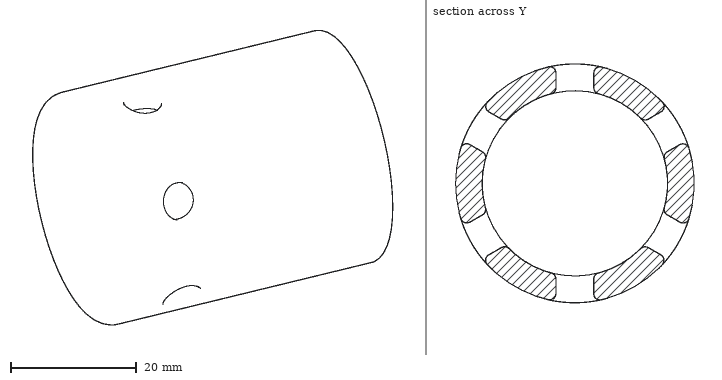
import cadquery as cq

length = 47.5
outer_radius = 19.0
wall = 4.28
closed_end_fillet = 3.0
open_end_fillet = 1.0

hole_count = 6
hole_diameter = 6.0
hole_fillet = 1.0
hole_distance = 12.0

inner_radius = outer_radius - wall
closed_end_y = -length / 2
open_end_y = length / 2
hole_y = closed_end_y + hole_distance


def cylinder_along_y(radius, start_y, end_y):
    """Solid cylinder about the Y axis between two Y positions."""
    return cq.Workplane("XZ", origin=(0, start_y, 0)).circle(radius).extrude(start_y - end_y)


def make_body():
    """Outer cylinder with both end edges rounded."""
    body = cylinder_along_y(outer_radius, closed_end_y, open_end_y)
    body = body.faces("<Y").edges().fillet(closed_end_fillet)
    return body.faces(">Y").edges().fillet(open_end_fillet)


def make_radial_drill(angle):
    """Cylinder running from the part axis outward, turned about Y from +Z."""
    drill = cq.Workplane("XY", origin=(0, hole_y, 0)).circle(hole_diameter / 2).extrude(outer_radius)
    return drill.rotate((0, 0, 0), (0, 1, 0), angle)


def drill_holes(body):
    """Cut the evenly spaced holes into the wall."""
    for index in range(hole_count):
        body = body.cut(make_radial_drill(index * 360 / hole_count))
    return body


def round_hole_edges(shell):
    """Fillet both ends of every hole, at the outer wall and at the cavity wall."""

    def is_hole_end(edge):
        at_hole = abs(edge.Center().y - hole_y) < hole_diameter / 2
        return at_hole and edge.geomType() == "BSPLINE"

    return shell.edges().filter(is_hole_end).fillet(hole_fillet)


cavity = cylinder_along_y(inner_radius, closed_end_y + wall, open_end_y)
cup = make_body().cut(cavity)
result = round_hole_edges(drill_holes(cup))